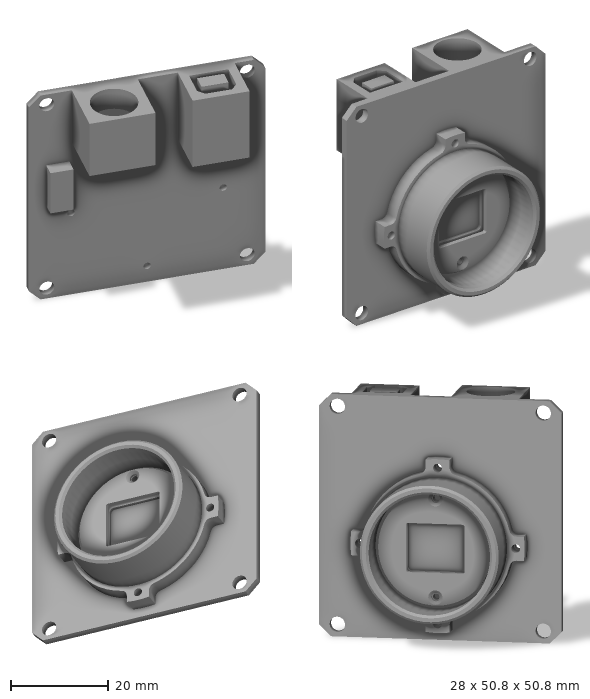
import cadquery as cq


board_side = 50.8
board_thickness = 1.7
board_corner_chamfer = 2.5
board_hole_diameter = 3.2
board_hole_spacing_y = 43.1
board_hole_spacing_z = 45.7

mount_z = -5.15
flange_thickness = 3.2
flange_radius = 15.5
tab_tip_radius = 18.25
tab_width = 5.05
tab_fillet = 1.5
tab_hole_circle_radius = 16.35
tab_hole_diameter = 1.85
tab_board_hole_diameter = 1.6

barrel_front_x = -13.5
barrel_radius = 14.55
barrel_outer_chamfer = 0.5
bore_radius = 12.7
bore_mouth_chamfer = 0.5
bore_floor_x = -4.8

retainer_radius = 12.0
retainer_thickness = 1.0
window_width = 12.15
window_height = 10.3
window_fillet = 0.4
filter_seat_margin = 1.25
filter_seat_depth = 0.85
sensor_window_depth = 0.75
sensor_window_fillet = 0.9

screw_offset = 10.3
screw_head_diameter = 3.0
screw_clearance_diameter = 1.8
screw_core_diameter = 1.35
screw_core_depth = 2.05

square_socket_depth = 10.7
square_socket_width = 12.25
square_socket_height = 16.5
square_socket_y = 12.7
square_recess_start = 1.8
square_recess_length = 7.2
square_recess_width = 8.45
square_recess_chamfer_x = 1.45
square_recess_chamfer_y = 1.3
square_recess_depth = 5.0
tongue_start = 3.1
tongue_length = 3.25
tongue_width = 5.8

round_socket_depth = 12.8
round_socket_width = 14.15
round_socket_height = 13.0
round_socket_y = -9.1
round_hole_diameter = 10.0
round_hole_center = 6.7
round_hole_depth = 5.0

small_block_depth = 3.05
small_block_width = 5.0
small_block_height = 10.0
small_block_y = -19.2
small_block_z = 2.8

board_back_x = board_thickness
retainer_front_x = bore_floor_x - retainer_thickness
board_top_z = board_side / 2


def sketch_plane(x, z=0.0):
    """Workplane at the given X, facing +X, with local axes along Y and Z."""
    return cq.Workplane("YZ", origin=(x, 0, z))


def mount_plane(x):
    return sketch_plane(x, mount_z)


def box_behind_board(depth, width, height, y, center_z):
    plane = sketch_plane(board_back_x, center_z)
    return plane.center(y, 0).rect(width, height).extrude(depth)


def make_board():
    board = sketch_plane(0).rect(board_side, board_side).extrude(board_thickness)
    board = board.edges("|X").chamfer(board_corner_chamfer)
    holes = (
        sketch_plane(0)
        .rect(board_hole_spacing_y, board_hole_spacing_z, forConstruction=True)
        .vertices()
        .circle(board_hole_diameter / 2)
        .extrude(board_thickness)
    )
    return board.cut(holes)


def make_flange():
    """Round flange with four tabs whose tips follow a larger circle."""
    plane = mount_plane(-flange_thickness)
    tab_span = 2 * tab_tip_radius
    upright_tabs = plane.rect(tab_width, tab_span).extrude(flange_thickness)
    level_tabs = plane.rect(tab_span, tab_width).extrude(flange_thickness)
    flange = plane.circle(flange_radius).extrude(flange_thickness)
    flange = flange.union(upright_tabs).union(level_tabs)

    corner_zone = cq.selectors.BoxSelector(
        (-flange_thickness, -flange_radius, mount_z - flange_radius),
        (0, flange_radius, mount_z + flange_radius),
    )
    flange = flange.edges("|X").edges(corner_zone).fillet(tab_fillet)
    return flange.intersect(plane.circle(tab_tip_radius).extrude(flange_thickness))


def make_barrel():
    """Tube with chamfered mouth, closed by the bore floor."""
    front = mount_plane(barrel_front_x)
    barrel = front.circle(barrel_radius).extrude(-barrel_front_x)
    barrel = barrel.faces("<X").chamfer(barrel_outer_chamfer)
    barrel = barrel.cut(front.circle(bore_radius).extrude(bore_floor_x - barrel_front_x))
    bore_mouth = barrel.faces("<X").edges(cq.selectors.RadiusNthSelector(0))
    return bore_mouth.chamfer(bore_mouth_chamfer)


def make_retainer():
    plane = mount_plane(retainer_front_x)
    retainer = plane.circle(retainer_radius).extrude(retainer_thickness)
    window = plane.rect(window_width, window_height).extrude(retainer_thickness)
    return retainer.cut(window.edges("|X").fillet(window_fillet))


def make_filter_seat():
    """Filter pocket in the bore floor with the sensor window behind it."""
    seat_width = window_width + 2 * filter_seat_margin
    seat_height = window_height + 2 * filter_seat_margin
    seat = mount_plane(bore_floor_x).rect(seat_width, seat_height).extrude(filter_seat_depth)
    window = mount_plane(bore_floor_x).rect(window_width, window_height)
    window = window.extrude(filter_seat_depth + sensor_window_depth)
    return seat.union(window.edges("|X").fillet(sensor_window_fillet))


def make_retainer_screw_holes():
    head_radius = screw_head_diameter / 2
    clearance_radius = screw_clearance_diameter / 2
    points = [(0, -screw_offset), (0, screw_offset)]
    clearance = mount_plane(retainer_front_x).pushPoints(points).circle(clearance_radius)
    holes = clearance.extrude(retainer_thickness)
    core = mount_plane(bore_floor_x).pushPoints(points).circle(screw_core_diameter / 2)
    holes = holes.union(core.extrude(screw_core_depth))
    for y, z in points:
        sink = cq.Solid.makeCone(
            head_radius,
            clearance_radius,
            head_radius - clearance_radius,
            pnt=cq.Vector(retainer_front_x, y, mount_z + z),
            dir=cq.Vector(1, 0, 0),
        )
        holes = holes.union(cq.Workplane(sink))
    return holes


def make_tab_holes():
    reach = tab_hole_circle_radius
    points = [(reach, 0), (0, reach), (-reach, 0), (0, -reach)]
    wide = mount_plane(-flange_thickness).pushPoints(points).circle(tab_hole_diameter / 2)
    narrow = mount_plane(0).pushPoints(points).circle(tab_board_hole_diameter / 2)
    return wide.extrude(flange_thickness).union(narrow.extrude(board_thickness))


def make_square_socket():
    """Housing with a recess in its top, chamfered on the far side, around a flush tongue."""
    center_z = board_top_z - square_socket_height / 2
    housing = box_behind_board(
        square_socket_depth, square_socket_width, square_socket_height, square_socket_y, center_z
    )
    top = cq.Workplane("XY", origin=(board_back_x, square_socket_y, board_top_z))
    half_width = square_recess_width / 2
    near_x = square_recess_start
    far_x = near_x + square_recess_length
    recess = top.polyline([
        (near_x, -half_width),
        (far_x - square_recess_chamfer_x, -half_width),
        (far_x, -half_width + square_recess_chamfer_y),
        (far_x, half_width - square_recess_chamfer_y),
        (far_x - square_recess_chamfer_x, half_width),
        (near_x, half_width),
    ]).close().extrude(-square_recess_depth)
    tongue = top.center(tongue_start + tongue_length / 2, 0).rect(tongue_length, tongue_width)
    return housing.cut(recess).union(tongue.extrude(-square_recess_depth))


def make_round_socket():
    center_z = board_top_z - round_socket_height / 2
    housing = box_behind_board(
        round_socket_depth, round_socket_width, round_socket_height, round_socket_y, center_z
    )
    top = cq.Workplane("XY", origin=(board_back_x, round_socket_y, board_top_z))
    hole = top.center(round_hole_center, 0).circle(round_hole_diameter / 2)
    return housing.cut(hole.extrude(-round_hole_depth))


lens_mount = (
    make_flange()
    .union(make_barrel())
    .union(make_retainer())
    .cut(make_filter_seat())
    .cut(make_retainer_screw_holes())
)
small_block = box_behind_board(
    small_block_depth, small_block_width, small_block_height, small_block_y, small_block_z
)
result = (
    make_board()
    .union(lens_mount)
    .cut(make_tab_holes())
    .union(make_square_socket())
    .union(make_round_socket())
    .union(small_block)
)